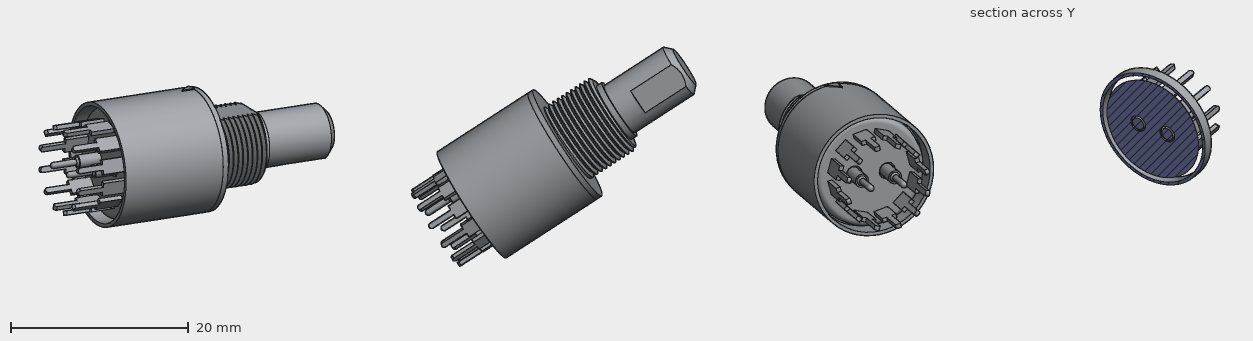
import cadquery as cq
import math


shaft_radius = 3.175
shaft_length = 8.8
shaft_end_chamfer = 0.8
flat_height = 2.8
flat_collar_gap = 2.5
collar_radius = 3.6
collar_length = 0.7
notch_floor_width = 1.16
notch_floor_height = 2.95
notch_wall_angle = 45

flange_radius = 7.12
flange_thickness = 0.65
bushing_length = 6.3
bushing_flat_height = 3.93
thread_radius = 4.8
thread_pitch = 0.6
thread_depth = 0.46
thread_root_width = 0.03
groove_mouth_width = 0.58
groove_overrun = 0.05
groove_start = 0.17
bushing_end_chamfer = 0.35

housing_radius = 7.135
housing_length = 12.25
bore_radius = 6.72
recess_depth = 1.05
base_edge_radius = 0.65
base_radius = 6.36
base_foot_radius = 6.53
gap_depth = 1.5
marker_size = 1.6
marker_height = 0.13

blade_count = 12
blade_circle_radius = 4.85
blade_first_angle = 15
blade_width = 1.68
blade_thickness = 0.5
blade_reach = 1.8
pin_reach = 4.9
pin_width = 0.65
pin_tip_rise = 0.25

post_spacing = 3.95
post_radius = 0.77
post_reach = 1.55
post_pocket_radius = 0.95
post_pocket_depth = 0.3
post_shoulder_radius = 0.58
post_shoulder_length = 0.25
post_pin_radius = 0.37

bushing_end = flange_thickness + bushing_length
collar_end = bushing_end + collar_length
shaft_end = collar_end + shaft_length
base_face = -housing_length + recess_depth
rim = -housing_length


def cylinder_y(radius, start, end):
    """Cylinder on the Y axis between two stations."""
    return cq.Workplane("XZ", origin=(0, end, 0)).circle(radius).extrude(end - start)


def block(width, start, end, bottom, top):
    """Box centred on X between two Y stations and two heights."""
    return cq.Workplane("XY").box(width, end - start, top - bottom, centered=(True, False, False)).translate(
        (0, start, bottom)
    )


def make_shaft():
    shaft = cylinder_y(shaft_radius, 0, shaft_end).faces(">Y").chamfer(shaft_end_chamfer)
    flat = block(2 * shaft_radius, collar_end + flat_collar_gap, shaft_end, -shaft_radius, -flat_height)
    collar = cylinder_y(collar_radius, bushing_end, collar_end)
    notch_rise = collar_radius - notch_floor_height
    notch_top_width = notch_floor_width + 2 * notch_rise / math.tan(math.radians(notch_wall_angle))
    notch = (
        cq.Workplane("XZ", origin=(0, collar_end, 0))
        .moveTo(-notch_floor_width / 2, notch_floor_height)
        .lineTo(notch_floor_width / 2, notch_floor_height)
        .lineTo(notch_top_width / 2, collar_radius)
        .lineTo(-notch_top_width / 2, collar_radius)
        .close()
        .extrude(collar_length)
    )
    return shaft.cut(flat).union(collar).cut(notch)


def make_thread_groove():
    """Right-hand helical V groove along Y, starting over the barrel flat and leaving at the free end."""
    root = thread_radius - thread_depth
    mouth = thread_radius + groove_overrun
    half_root = thread_root_width / 2
    half_mouth = groove_mouth_width / 2
    helix = cq.Wire.makeHelix(thread_pitch, bushing_length + thread_pitch / 2, root)
    groove = (
        cq.Workplane("XZ")
        .polyline([(root, -half_root), (mouth, -half_mouth), (mouth, half_mouth), (root, half_root)])
        .close()
        .sweep(cq.Workplane(helix), isFrenet=True)
    )
    along_y = groove.rotate((0, 0, 0), (1, 0, 0), -90)
    from_top = along_y.rotate((0, 0, 0), (0, 1, 0), -90)
    return from_top.translate((0, flange_thickness + groove_start, 0))


def make_bushing():
    barrel = cylinder_y(thread_radius, flange_thickness, bushing_end).faces(">Y").chamfer(bushing_end_chamfer)
    flat = block(2 * thread_radius, flange_thickness, bushing_end, bushing_flat_height, thread_radius)
    barrel = barrel.cut(flat).cut(make_thread_groove())
    flange = cylinder_y(flange_radius, 0, flange_thickness)
    return barrel.union(flange).cut(cylinder_y(shaft_radius, 0, bushing_end))


def make_marker():
    """Raised triangle on top of the housing, against the flange."""
    prism = (
        cq.Workplane("XY")
        .polyline([(0, 0), (-marker_size, 0), (0, -marker_size)])
        .close()
        .extrude(housing_radius + marker_height)
    )
    ring = cylinder_y(housing_radius + marker_height, -marker_size, 0).cut(
        cylinder_y(bore_radius, -marker_size, 0)
    )
    return prism.intersect(ring)


def make_blade(angle):
    """Flat terminal narrowing to a round-tipped pin, turned about the Y axis."""
    half_blade = blade_width / 2
    half_pin = pin_width / 2
    shoulder = rim - blade_reach
    tip = rim - pin_reach
    return (
        cq.Workplane("XY", origin=(0, 0, blade_circle_radius - blade_thickness / 2))
        .moveTo(-half_blade, base_face)
        .lineTo(-half_blade, shoulder)
        .lineTo(-half_pin, shoulder)
        .lineTo(-half_pin, tip + pin_tip_rise)
        .threePointArc((0, tip), (half_pin, tip + pin_tip_rise))
        .lineTo(half_pin, shoulder)
        .lineTo(half_blade, shoulder)
        .lineTo(half_blade, base_face)
        .close()
        .extrude(blade_thickness)
        .rotate((0, 0, 0), (0, 1, 0), angle)
    )


def make_post():
    """Round terminal: thick post, tapered shoulder and thin round-tipped pin."""
    post_end = rim - post_reach
    shoulder_end = post_end - post_shoulder_length
    tip = rim - pin_reach
    return (
        cq.Workplane("XY")
        .moveTo(0, base_face + post_pocket_depth)
        .lineTo(post_radius, base_face + post_pocket_depth)
        .lineTo(post_radius, post_end)
        .lineTo(post_shoulder_radius, post_end)
        .lineTo(post_pin_radius, shoulder_end)
        .lineTo(post_pin_radius, tip + post_pin_radius)
        .radiusArc((0, tip), post_pin_radius)
        .close()
        .revolve(360, (0, 0, 0), (0, 1, 0))
    )


def make_housing():
    gap_floor = base_face + gap_depth
    base = (
        cq.Workplane("XZ", origin=(0, gap_floor, 0))
        .circle(base_foot_radius)
        .workplane(offset=gap_depth)
        .circle(base_radius)
        .loft()
        .faces("<Y")
        .edges()
        .fillet(base_edge_radius)
    )
    floor = cylinder_y(bore_radius, gap_floor, 0)
    sleeve = cylinder_y(housing_radius, rim, 0).cut(cylinder_y(bore_radius, rim, 0))
    housing = sleeve.union(floor).union(base).union(make_marker())
    for index in range(blade_count):
        housing = housing.union(make_blade(blade_first_angle + index * 360 / blade_count))
    pocket = cylinder_y(post_pocket_radius, base_face, base_face + post_pocket_depth)
    for side in (-1, 1):
        place = (side * post_spacing / 2, 0, 0)
        housing = housing.cut(pocket.translate(place)).union(make_post().translate(place))
    return housing


shaft = make_shaft()
bushing = make_bushing()
housing = make_housing()
result = cq.Compound.makeCompound([shaft.val(), bushing.val(), housing.val()])